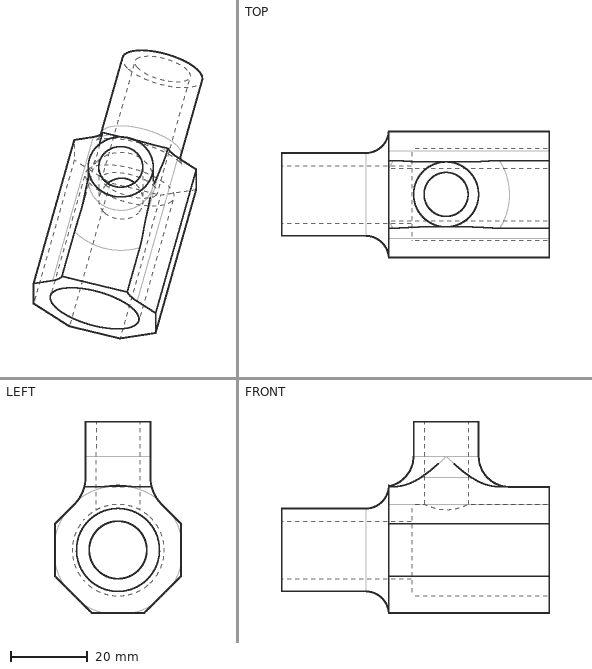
import cadquery as cq
import math

total_length = 70.0
body_length = 42.0
body_width = 33.0
tube_diameter = 21.7
main_bore = 15.0
tube_flare_radius = 6.0
socket_diameter = 24.0
socket_depth = 36.0

branch_x = 43.0
branch_top = 33.5
branch_diameter = 17.0
branch_bore = 11.5
branch_flare_radius = 8.0
saddle_radius = 10.0

half_width = body_width / 2
tube_radius = tube_diameter / 2
branch_radius = branch_diameter / 2
body_start = total_length - body_length
half_corner = math.pi / 8
half_flat = half_width * math.tan(half_corner)


def body_profile():
    """Octagon along X with an upright neck, blended into its upper sloping flats."""
    corner_z = half_width + half_flat - branch_radius
    tangent = saddle_radius * math.tan(half_corner)
    diagonal = tangent * math.cos(2 * half_corner)
    arc_top = (branch_radius, corner_z + tangent)
    arc_bottom = (branch_radius + diagonal, corner_z - diagonal)
    arc_middle = (
        branch_radius + saddle_radius * (1 - math.cos(half_corner)),
        corner_z + tangent - saddle_radius * math.sin(half_corner),
    )

    def mirrored(point):
        return (-point[0], point[1])

    return (
        cq.Workplane("YZ")
        .moveTo(-half_flat, -half_width)
        .lineTo(half_flat, -half_width)
        .lineTo(half_width, -half_flat)
        .lineTo(half_width, half_flat)
        .lineTo(*arc_bottom)
        .threePointArc(arc_middle, arc_top)
        .lineTo(branch_radius, branch_top)
        .lineTo(-branch_radius, branch_top)
        .lineTo(*mirrored(arc_top))
        .threePointArc(mirrored(arc_middle), mirrored(arc_bottom))
        .lineTo(-half_width, half_flat)
        .lineTo(-half_width, -half_flat)
        .close()
    )


def flared_pipe(pipe_radius, flare_radius, flare_end, pipe_end):
    """Solid round pipe on +Z that flares out to a wide foot at flare_end."""
    foot_radius = pipe_radius + flare_radius
    neck = flare_end + flare_radius
    arc_offset = flare_radius * (1 - math.cos(math.pi / 4))
    return (
        cq.Workplane("XZ")
        .moveTo(0, flare_end)
        .lineTo(foot_radius, flare_end)
        .threePointArc((pipe_radius + arc_offset, flare_end + arc_offset), (pipe_radius, neck))
        .lineTo(pipe_radius, pipe_end)
        .lineTo(0, pipe_end)
        .close()
        .revolve(360, (0, 0, 0), (0, 1, 0))
    )


def make_body(outline):
    """Profile along the body, cut level with the octagon's top flat."""
    below_top_flat = cq.Workplane("XY").box(
        total_length, body_width, body_width, centered=(False, True, True)
    )
    return outline.intersect(below_top_flat)


def make_tube(outline):
    """Tube along X whose flare is trimmed to the body outline."""
    tube = flared_pipe(tube_radius, tube_flare_radius, 0, body_start)
    tube = tube.rotate((0, 0, 0), (0, 1, 0), -90).translate((body_start, 0, 0))
    return tube.intersect(outline)


def make_branch(outline):
    """Upright branch whose flare is trimmed to the neck and the body's end face."""
    branch = flared_pipe(branch_radius, branch_flare_radius, half_width, branch_top)
    branch = branch.translate((branch_x, 0, 0))
    return branch.intersect(outline)


tube_outline = body_profile().extrude(body_start)
body_outline = body_profile().extrude(body_length).translate((body_start, 0, 0))
main_hole = cq.Workplane("YZ").circle(main_bore / 2).extrude(total_length)
socket = (
    cq.Workplane("YZ", origin=(total_length, 0, 0))
    .circle(socket_diameter / 2)
    .extrude(-socket_depth)
)
branch_hole = cq.Workplane("XY").center(branch_x, 0).circle(branch_bore / 2).extrude(branch_top)

result = (
    make_body(body_outline)
    .union(make_tube(tube_outline))
    .union(make_branch(body_outline))
    .cut(main_hole)
    .cut(socket)
    .cut(branch_hole)
)